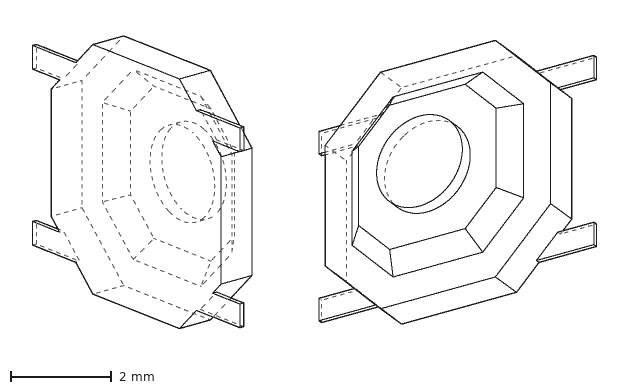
import cadquery as cq

body_size = 5.25
body_flat = 2.675
body_depth = 0.8

cover_size = 3.995
cover_flat = 2.085
cover_depth = 0.4
cover_taper = 45.0

button_diameter = 2.0
button_depth = 0.3

lead_span = 6.4
lead_width = 0.5
lead_thickness = 0.1
lead_height = 1.85


def plane_at(depth):
    """Work plane parallel to the mounting face, facing the button side."""
    return cq.Workplane(cq.Plane(origin=(0, depth, 0), xDir=(1, 0, 0), normal=(0, 1, 0)))


def octagon(depth, size, flat):
    """Square with cut corners, leaving straight sides of length flat."""
    edge = size / 2
    corner = flat / 2
    points = [
        (edge, -corner), (edge, corner),
        (corner, edge), (-corner, edge),
        (-edge, corner), (-edge, -corner),
        (-corner, -edge), (corner, -edge),
    ]
    return plane_at(depth).polyline(points).close()


body = octagon(0, body_size, body_flat).extrude(body_depth)
cover = octagon(body_depth, cover_size, cover_flat).extrude(cover_depth, taper=cover_taper)
button = plane_at(body_depth + cover_depth).circle(button_diameter / 2).extrude(button_depth)

lead_bars = (
    plane_at(0)
    .pushPoints([(0, lead_height), (0, -lead_height)])
    .rect(lead_span, lead_width)
    .extrude(lead_thickness)
)

result = body.union(cover).union(button).union(lead_bars)